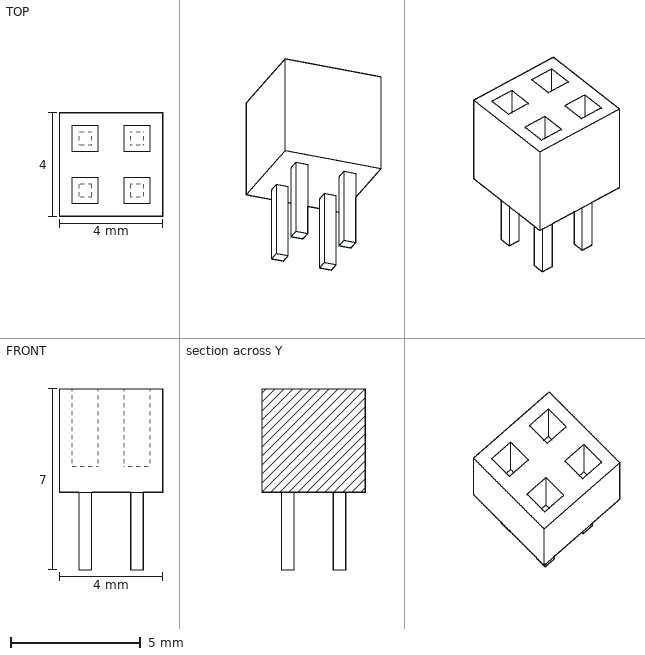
import cadquery as cq

total_height = 7.0
body_side = 4.0
pin_width = 0.5
socket_width = 1.0
socket_depth = 3.0

pitch = body_side / 2
pin_length = total_height - body_side
contacts_per_side = 2


def contact_grid(plane):
    """Place one point per contact, centred on the given workplane."""
    return plane.rarray(pitch, pitch, contacts_per_side, contacts_per_side)


def make_body():
    """Cubic housing standing on the XY plane."""
    return cq.Workplane("XY").box(body_side, body_side, body_side, centered=(True, True, False))


def make_sockets():
    """Square blind sockets reaching down from the top of the housing."""
    top = cq.Workplane("XY").workplane(offset=body_side)
    return contact_grid(top).rect(socket_width, socket_width).extrude(-socket_depth)


def make_pins():
    """Square pins hanging from the underside, in line with the sockets."""
    underside = cq.Workplane("XY")
    return contact_grid(underside).rect(pin_width, pin_width).extrude(-pin_length)


result = make_body().cut(make_sockets()).union(make_pins())